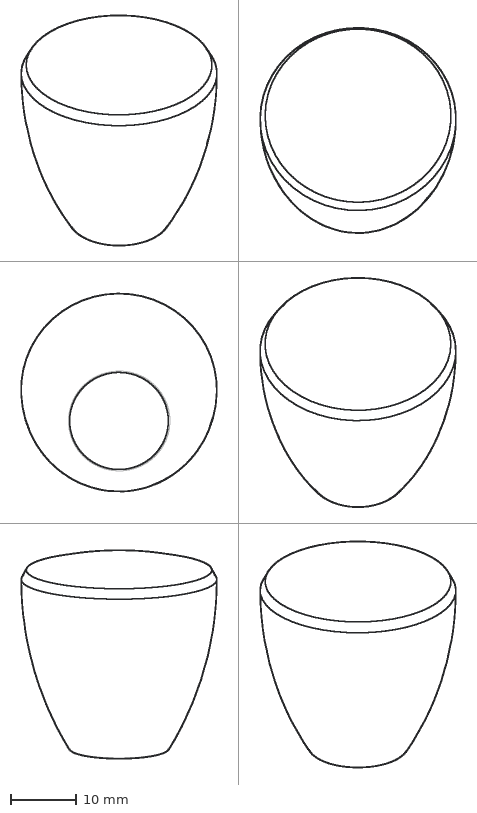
import cadquery as cq
import math

height = 30.0
body_radius = 15.0
base_radius = 7.78
base_edge = 0.2
shoulder_height = 26.52
crown_radius = 14.23
crown_height = 28.0

side_drop = shoulder_height - base_edge
side_inset = body_radius - base_radius
side_arc_radius = (side_drop**2 + side_inset**2) / (2 * side_inset)
mid_angle = math.asin(side_drop / side_arc_radius) / 2
side_mid = (
    body_radius - side_arc_radius * (1 - math.cos(mid_angle)),
    shoulder_height - side_arc_radius * math.sin(mid_angle),
)

dome_rise = height - crown_height
dome_arc_radius = (crown_radius**2 + dome_rise**2) / (2 * dome_rise)
dome_mid_radius = crown_radius / 2
dome_mid_height = height - dome_arc_radius + math.sqrt(dome_arc_radius**2 - dome_mid_radius**2)

profile = (
    cq.Workplane("XZ")
    .lineTo(base_radius - base_edge, 0)
    .lineTo(base_radius, base_edge)
    .threePointArc(side_mid, (body_radius, shoulder_height))
    .lineTo(crown_radius, crown_height)
    .threePointArc((dome_mid_radius, dome_mid_height), (0, height))
    .close()
)

result = profile.revolve(360, (0, 0, 0), (0, 1, 0))